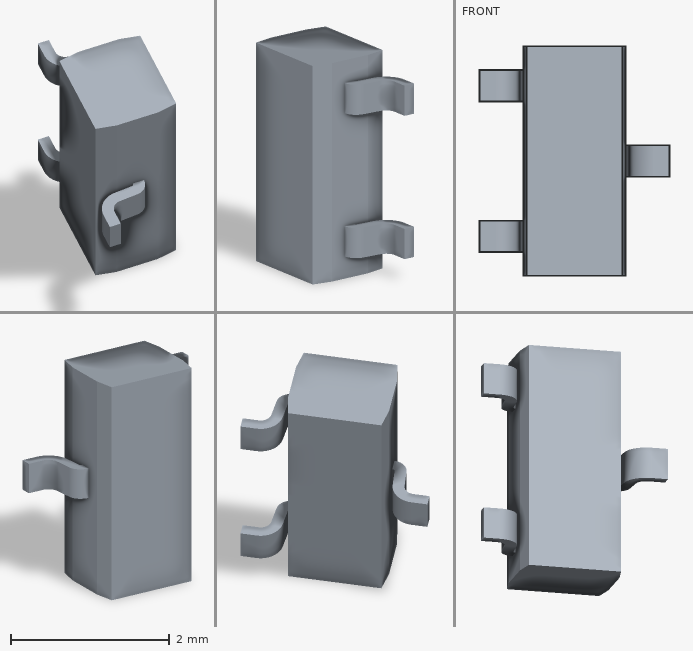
import cadquery as cq
import math

housing_length = 2.9
housing_width = 1.3
housing_height = 1.102
standoff = 0.05
taper_inset = 0.05
taper_height = 0.27

lead_span = 2.4
lead_thickness = 0.15
lead_width = 0.4
lead_top = 0.69
foot_flat = 0.21
foot_inner_radius = 0.135
shoulder_inner_radius = 0.025
shoulder_flat = 0.01
lead_offset = 0.95

half_width = housing_width / 2
foot_outer_radius = foot_inner_radius + lead_thickness
shoulder_outer_radius = shoulder_inner_radius + lead_thickness

foot_center = (-lead_span / 2 + foot_flat, foot_outer_radius)
shoulder_center = (-half_width - shoulder_flat, lead_top - shoulder_outer_radius)

center_dx = shoulder_center[0] - foot_center[0]
center_dy = shoulder_center[1] - foot_center[1]
radius_sum = foot_inner_radius + shoulder_outer_radius
web_angle = math.atan2(center_dy, center_dx) + math.asin(radius_sum / math.hypot(center_dx, center_dy))


def foot_point(radius, angle):
    """Point on the foot bend after turning by angle from the flat foot."""
    return (foot_center[0] + radius * math.sin(angle), foot_center[1] - radius * math.cos(angle))


def shoulder_point(radius, angle):
    """Point on the shoulder bend where the lead is inclined by angle."""
    return (shoulder_center[0] - radius * math.sin(angle), shoulder_center[1] + radius * math.cos(angle))


def make_housing():
    """Block whose two long sides taper in toward the top and the underside."""
    top = standoff + housing_height
    face_half_width = half_width - taper_inset
    return (
        cq.Workplane("XY")
        .workplane(offset=-housing_length / 2)
        .polyline([
            (-face_half_width, standoff),
            (face_half_width, standoff),
            (half_width, standoff + taper_height),
            (half_width, top - taper_height),
            (face_half_width, top),
            (-face_half_width, top),
            (-half_width, top - taper_height),
            (-half_width, standoff + taper_height),
        ])
        .close()
        .extrude(housing_length)
    )


def make_lead(z_center):
    """Gull-wing lead on the -X side, ending against the housing face."""
    half_angle = web_angle / 2
    return (
        cq.Workplane("XY")
        .workplane(offset=z_center - lead_width / 2)
        .moveTo(-lead_span / 2, 0)
        .lineTo(*foot_point(foot_outer_radius, 0))
        .threePointArc(foot_point(foot_outer_radius, half_angle), foot_point(foot_outer_radius, web_angle))
        .lineTo(*shoulder_point(shoulder_inner_radius, web_angle))
        .threePointArc(
            shoulder_point(shoulder_inner_radius, half_angle),
            shoulder_point(shoulder_inner_radius, 0),
        )
        .lineTo(-half_width, lead_top - lead_thickness)
        .lineTo(-half_width, lead_top)
        .lineTo(*shoulder_point(shoulder_outer_radius, 0))
        .threePointArc(
            shoulder_point(shoulder_outer_radius, half_angle),
            shoulder_point(shoulder_outer_radius, web_angle),
        )
        .lineTo(*foot_point(foot_inner_radius, web_angle))
        .threePointArc(foot_point(foot_inner_radius, half_angle), foot_point(foot_inner_radius, 0))
        .lineTo(-lead_span / 2, lead_thickness)
        .close()
        .extrude(lead_width)
    )


housing = make_housing()
paired_leads = [make_lead(z_center) for z_center in (-lead_offset, lead_offset)]
single_lead = make_lead(0).mirror("YZ")

result = cq.Compound.makeCompound([
    housing.val(),
    *[lead.val() for lead in paired_leads],
    single_lead.val(),
])